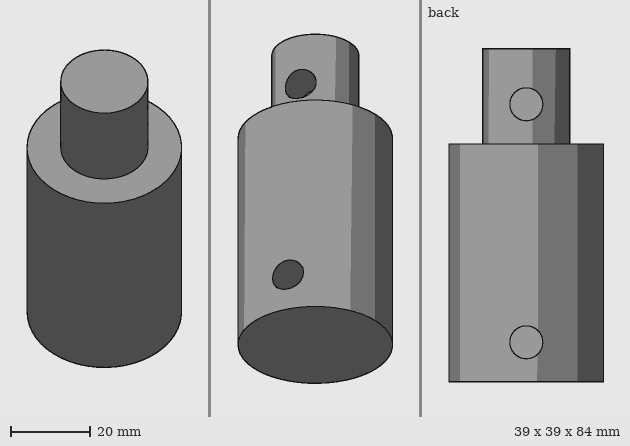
import cadquery as cq

total_height = 84
body_diameter = 39.0
body_height = 60.0
pin_diameter = 22.0
pin_height = total_height - body_height

hole_diameter = 8.3
body_hole_height = 10.0
pin_hole_height = 70.0


def radial_hole(height):
    """Cutter running along +Y from the part axis to beyond the body."""
    return (
        cq.Workplane("XZ", origin=(0, 0, height))
        .circle(hole_diameter / 2)
        .extrude(-body_diameter)
    )


body = cq.Workplane("XY").circle(body_diameter / 2).extrude(body_height)
pin = (
    cq.Workplane("XY", origin=(0, 0, body_height))
    .circle(pin_diameter / 2)
    .extrude(pin_height)
)
result = body.union(pin)

for hole_height in (body_hole_height, pin_hole_height):
    result = result.cut(radial_hole(hole_height))